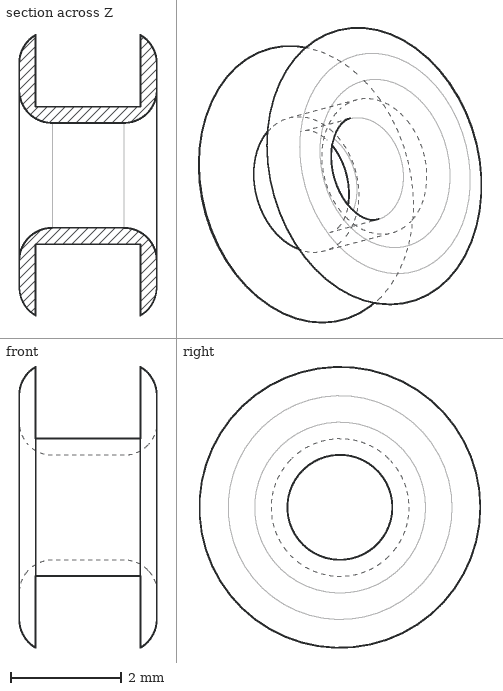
import cadquery as cq
import math

length = 2.5
flange_diameter = 5.1
barrel_diameter = 2.5
bore_diameter = 1.9
flange_thickness = 0.3
edge_radius = 0.6

half_length = length / 2
flange_radius = flange_diameter / 2
barrel_radius = barrel_diameter / 2
bore_radius = bore_diameter / 2
flange_inner_x = half_length - flange_thickness
round_center_x = half_length - edge_radius

rim_end_angle = math.acos((flange_inner_x - round_center_x) / edge_radius)
rim_center_radius = flange_radius - edge_radius * math.sin(rim_end_angle)
rim_middle_x = round_center_x + edge_radius * math.cos(rim_end_angle / 2)
rim_middle_radius = rim_center_radius + edge_radius * math.sin(rim_end_angle / 2)

mouth_radius = bore_radius + edge_radius
mouth_middle_x = round_center_x + edge_radius * math.sin(math.pi / 4)
mouth_middle_radius = mouth_radius - edge_radius * math.cos(math.pi / 4)


def make_eyelet():
    """Revolve the closed wall profile, drawn as (x, radius), about the X axis."""
    profile = (
        cq.Workplane("XY")
        .moveTo(-round_center_x, bore_radius)
        .lineTo(round_center_x, bore_radius)
        .threePointArc((mouth_middle_x, mouth_middle_radius), (half_length, mouth_radius))
        .lineTo(half_length, rim_center_radius)
        .threePointArc((rim_middle_x, rim_middle_radius), (flange_inner_x, flange_radius))
        .lineTo(flange_inner_x, barrel_radius)
        .lineTo(-flange_inner_x, barrel_radius)
        .lineTo(-flange_inner_x, flange_radius)
        .threePointArc((-rim_middle_x, rim_middle_radius), (-half_length, rim_center_radius))
        .lineTo(-half_length, mouth_radius)
        .threePointArc((-mouth_middle_x, mouth_middle_radius), (-round_center_x, bore_radius))
        .close()
    )
    return profile.revolve(360, (0, 0, 0), (1, 0, 0))


result = make_eyelet()